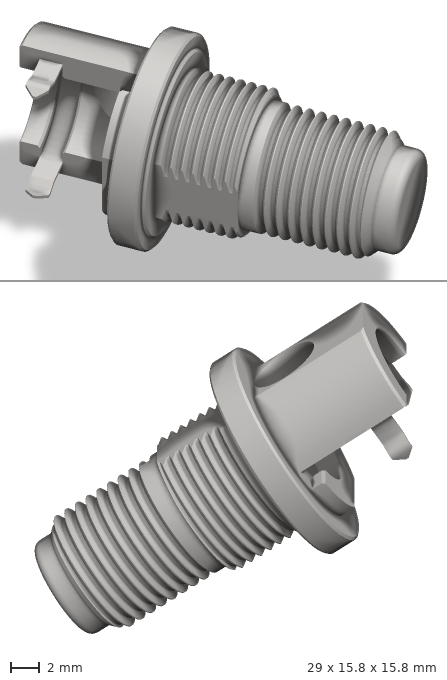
import cadquery as cq
import math

LENGTH = 29.0
FLANGE_START = 9.15
FLANGE_END = 11.35
COLLAR_END = 11.62
REAR_THREAD_END = 17.75
NECK_END = 18.85
NOSE_START = 27.37

FLANGE_DIAMETER = 15.75
FLANGE_RADIUS = FLANGE_DIAMETER / 2
FLANGE_BEVEL = 0.17
COLLAR_RADIUS = 6.8
COLLAR_BEVEL = 0.17

SOCKET_RADIUS = 6.0
SOCKET_FLAT = 5.35
SOCKET_BEVEL = 0.2
BORE_RADIUS = 3.75
BORE_BEVEL = 0.1
SHELF_START = 8.95
KEY_START = 7.97
KEY_TOP = -1.57
KEY_BEVEL = 0.2
INSULATOR_FACE = 9.57
SIDE_HOLE_X = 6.65
SIDE_HOLE_DIAMETER = 5.02

PIN_DIAMETER = 1.35
PIN_RADIUS = PIN_DIAMETER / 2
PIN_START = 7.22
PIN_FULL_START = 9.0

CLIP_START = 1.5
CLIP_WIDTH = 1.68
CLIP_END = CLIP_START + CLIP_WIDTH
CLIP_GAP = 9.65
CLIP_INNER = CLIP_GAP / 2
CLIP_THICKNESS = 0.25
CLIP_OUTER = CLIP_INNER + CLIP_THICKNESS
GROOVE_BEVEL = 0.17
LEG_BEND_Y = -1.6
LEG_BEND_END_Y = -1.85
LEG_BEND_RISE = 0.05
LEG_CREST_Y = -2.73
LEG_TIP_Y = -3.6
LEG_TIP_WIDTH = 0.25
LEG_CREST_RISE = 0.4
LEG_TIP_RISE = 0.05
LEG_CREST_HALF = 0.25
LEG_CREST_ROUND = 0.05
LEG_TAPER_Y = LEG_CREST_Y - LEG_CREST_HALF

REAR_DIAMETER = 10.93
REAR_CREST_RADIUS = REAR_DIAMETER / 2
REAR_ROOT_RADIUS = 5.05
REAR_TURNS_LENGTH = 4.0
REAR_PITCH = REAR_TURNS_LENGTH / 5
REAR_GROOVE_START = 12.12
REAR_FLAT = 4.75
FRONT_CREST_RADIUS = 4.67
FRONT_ROOT_DIAMETER = 8.38
FRONT_ROOT_RADIUS = FRONT_ROOT_DIAMETER / 2
FRONT_PITCH = 0.9
FRONT_GROOVE_START = NECK_END
CREST_WIDTH = 0.1
FLANK_ANGLE = 30.0
THREAD_END_BEVEL = 0.35
GROOVE_OVERCUT = 0.03

NOSE_RADIUS = 3.8
NOSE_ROUND = 0.6


def cylinder(start, end, radius):
    """Cylinder on the X axis."""
    return cq.Workplane("YZ", origin=(start, 0, 0)).circle(radius).extrude(end - start)


def block(x_range, y_range, half_height):
    """Box between two X and two Y values, centred on Z = 0."""
    size_x = x_range[1] - x_range[0]
    size_y = y_range[1] - y_range[0]
    return (
        cq.Workplane("XY")
        .box(size_x, size_y, 2 * half_height, centered=(False, False, True))
        .translate((x_range[0], y_range[0], 0))
    )


def revolve_profile(profile):
    """Turn a closed (x, radius) profile about the X axis."""
    return profile.close().revolve(360, (0, 0, 0), (1, 0, 0))


def make_flange():
    plate = cylinder(FLANGE_START, FLANGE_END, FLANGE_RADIUS).edges().chamfer(FLANGE_BEVEL)
    collar = cylinder(FLANGE_START + FLANGE_BEVEL, COLLAR_END, COLLAR_RADIUS)
    return plate.union(collar.faces(">X").edges().chamfer(COLLAR_BEVEL))


def make_front_envelope():
    """Outline that ends the front thread in a cone and a round-rimmed nose."""
    start_radius = FRONT_CREST_RADIUS + GROOVE_OVERCUT
    cone_start = NOSE_START - (start_radius - NOSE_RADIUS)
    rim_middle = NOSE_ROUND * (1 - math.sqrt(0.5))
    profile = (
        cq.Workplane("XY")
        .moveTo(COLLAR_END, 0)
        .lineTo(COLLAR_END, start_radius)
        .lineTo(cone_start, start_radius)
        .lineTo(NOSE_START, NOSE_RADIUS)
        .lineTo(LENGTH - NOSE_ROUND, NOSE_RADIUS)
        .threePointArc(
            (LENGTH - rim_middle, NOSE_RADIUS - rim_middle),
            (LENGTH, NOSE_RADIUS - NOSE_ROUND),
        )
        .lineTo(LENGTH, 0)
    )
    return revolve_profile(profile)


def make_thread_cutter(start, end, crest_radius, root_radius, pitch):
    """Right-handed helical groove tool that starts on the +Y side at X = start."""
    slope = math.tan(math.radians(FLANK_ANGLE))
    outer_radius = crest_radius + GROOVE_OVERCUT
    outer_half = (pitch - CREST_WIDTH) / 2 + GROOVE_OVERCUT * slope
    root_half = outer_half - (outer_radius - root_radius) * slope
    helix = cq.Wire.makeHelix(pitch, end - start, root_radius)
    cutter = (
        cq.Workplane("XZ")
        .polyline(
            [
                (root_radius, -root_half),
                (outer_radius, -outer_half),
                (outer_radius, outer_half),
                (root_radius, root_half),
            ]
        )
        .close()
        .sweep(cq.Workplane(obj=helix), isFrenet=True)
    )
    cutter = cutter.rotate((0, 0, 0), (0, 1, 0), 90)
    cutter = cutter.rotate((0, 0, 0), (1, 0, 0), 90)
    return cutter.translate((start, 0, 0))


def make_rear_thread():
    """Threaded cylinder with a bevelled end and two flats."""
    cutter = make_thread_cutter(
        REAR_GROOVE_START,
        REAR_THREAD_END + REAR_PITCH / 2,
        REAR_CREST_RADIUS,
        REAR_ROOT_RADIUS,
        REAR_PITCH,
    )
    thread = cylinder(FLANGE_START, REAR_THREAD_END, REAR_CREST_RADIUS).cut(cutter)
    envelope = cylinder(FLANGE_START, REAR_THREAD_END, REAR_CREST_RADIUS + GROOVE_OVERCUT)
    envelope = envelope.faces(">X").edges().chamfer(THREAD_END_BEVEL)
    flats = block((FLANGE_START, REAR_THREAD_END), (-REAR_FLAT, REAR_FLAT), SOCKET_RADIUS)
    return thread.intersect(envelope.intersect(flats))


def make_front_thread():
    """Neck, front thread and nose."""
    cutter = make_thread_cutter(
        FRONT_GROOVE_START,
        NOSE_START,
        FRONT_CREST_RADIUS,
        FRONT_ROOT_RADIUS,
        FRONT_PITCH,
    )
    thread = cylinder(COLLAR_END, LENGTH, FRONT_CREST_RADIUS).cut(cutter)
    return thread.intersect(make_front_envelope())


def make_socket():
    """Half barrel on +Y, low shelf and key block on -Y, all bounded by the flats."""
    envelope = cylinder(0, FLANGE_END, SOCKET_RADIUS).faces("<X").edges().chamfer(SOCKET_BEVEL)
    barrel = block((0, FLANGE_END), (0, SOCKET_FLAT), SOCKET_RADIUS)
    shelf = block((SHELF_START, FLANGE_END), (-SOCKET_FLAT, 0), SOCKET_RADIUS)
    key = block((KEY_START, FLANGE_END), (-SOCKET_FLAT, KEY_TOP), SOCKET_RADIUS)
    key = key.edges("<X and >Y").chamfer(KEY_BEVEL)
    socket = envelope.intersect(barrel.union(shelf).union(key))
    side_hole = (
        cq.Workplane("XZ", origin=(SIDE_HOLE_X, 0, 0))
        .circle(SIDE_HOLE_DIAMETER / 2)
        .extrude(-SOCKET_RADIUS)
    )
    return socket.cut(side_hole)


def make_bore():
    """Bore down to the insulator, with the bevelled clip groove."""
    wide_radius = BORE_RADIUS + GROOVE_BEVEL
    profile = cq.Workplane("XY").polyline(
        [
            (0, 0),
            (0, BORE_RADIUS + BORE_BEVEL),
            (BORE_BEVEL, BORE_RADIUS),
            (CLIP_START - GROOVE_BEVEL, BORE_RADIUS),
            (CLIP_START, wide_radius),
            (CLIP_START, CLIP_INNER),
            (CLIP_END, CLIP_INNER),
            (CLIP_END, wide_radius),
            (CLIP_END + GROOVE_BEVEL, BORE_RADIUS),
            (INSULATOR_FACE, BORE_RADIUS),
            (INSULATOR_FACE, 0),
        ]
    )
    return revolve_profile(profile)


def make_pin():
    half_length = block((PIN_START, PIN_FULL_START), (0, PIN_RADIUS), PIN_RADIUS)
    half_pin = cylinder(PIN_START, PIN_FULL_START, PIN_RADIUS).intersect(half_length)
    return half_pin.union(cylinder(PIN_FULL_START, FLANGE_END, PIN_RADIUS))


def make_clip_leg():
    """Upper clip leg: straight, then humped outward, ending in a tapered tip."""
    bend_end = (LEG_BEND_END_Y, LEG_BEND_RISE)
    bend_middle = ((LEG_BEND_Y + LEG_BEND_END_Y) / 2, LEG_BEND_RISE / 4)
    crest_start = (LEG_CREST_Y + LEG_CREST_HALF, LEG_CREST_RISE - LEG_CREST_ROUND)
    crest_end = (LEG_CREST_Y - LEG_CREST_HALF, LEG_CREST_RISE - LEG_CREST_ROUND)

    def at(base, offset):
        """Point on the face that lies at height base along the straight stretch."""
        return (offset[0], base + offset[1])

    crest = (LEG_CREST_Y, LEG_CREST_RISE)
    tip = (LEG_TIP_Y, LEG_TIP_RISE)
    strip = (
        cq.Workplane("YZ", origin=(CLIP_START, 0, 0))
        .moveTo(0, CLIP_OUTER)
        .lineTo(LEG_BEND_Y, CLIP_OUTER)
        .threePointArc(at(CLIP_OUTER, bend_middle), at(CLIP_OUTER, bend_end))
        .lineTo(*at(CLIP_OUTER, crest_start))
        .threePointArc(at(CLIP_OUTER, crest), at(CLIP_OUTER, crest_end))
        .lineTo(*at(CLIP_OUTER, tip))
        .lineTo(*at(CLIP_INNER, tip))
        .lineTo(*at(CLIP_INNER, crest_end))
        .threePointArc(at(CLIP_INNER, crest), at(CLIP_INNER, crest_start))
        .lineTo(*at(CLIP_INNER, bend_end))
        .threePointArc(at(CLIP_INNER, bend_middle), (LEG_BEND_Y, CLIP_INNER))
        .lineTo(0, CLIP_INNER)
        .close()
        .extrude(CLIP_WIDTH)
    )
    tip_inset = (CLIP_WIDTH - LEG_TIP_WIDTH) / 2
    outline = (
        cq.Workplane("XY")
        .polyline(
            [
                (CLIP_START, 0),
                (CLIP_START, LEG_TAPER_Y),
                (CLIP_START + tip_inset, LEG_TIP_Y),
                (CLIP_END - tip_inset, LEG_TIP_Y),
                (CLIP_END, LEG_TAPER_Y),
                (CLIP_END, 0),
            ]
        )
        .close()
        .extrude(SOCKET_RADIUS)
    )
    return strip.intersect(outline)


upper_leg = make_clip_leg()
lower_leg = upper_leg.mirror("XY")

result = make_flange().union(make_rear_thread()).union(make_front_thread())
result = result.union(make_socket())
result = result.cut(make_bore())
result = result.union(make_pin())
result = result.union(upper_leg).union(lower_leg)
result = cq.Workplane(obj=result.val().Solids()[0])